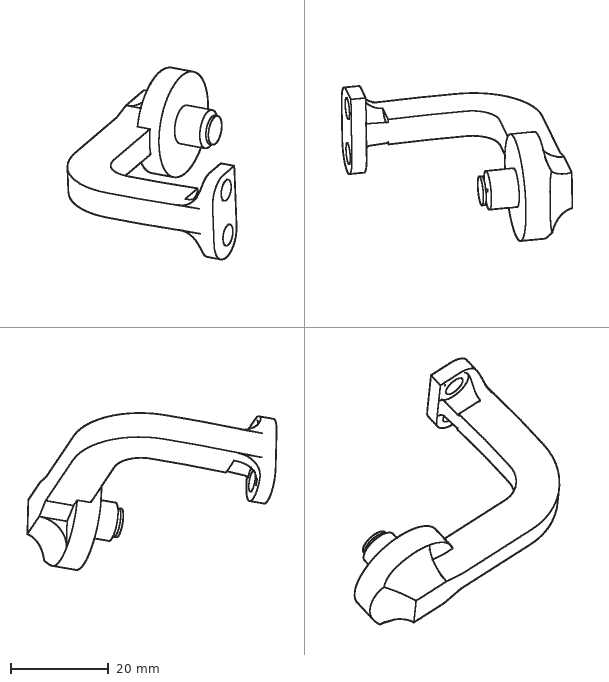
import cadquery as cq
import math

tilt_angle = 4.3

disc_diameter = 22.0
disc_start = 6.0
disc_end = 11.05
pin_diameter = 8.0
pin_end = 16.85
ring_diameter = 6.0
ring_start = 17.75
ring_end = 18.3
stem_diameter = 0.55

pad_half = pin_diameter / 2
flare_radius = disc_start
flare_reach = pad_half + flare_radius
back_flare_mid = (4.1, 6.95)

arm_width = 8.9
arm_top = 3.1
arm_bottom = -2.55
arm_start = -8.25
arm_front = -41.55
bend_radius = 14.85
bend_y = arm_front + bend_radius
inner_radius = bend_radius - arm_width
arm_back = arm_front + arm_width
offset_start = 22.5
offset_rise = 0.55
root_fillet = 0.8

plate_end = 39.0
plate_start = 35.9
plate_front = arm_front + offset_rise
plate_radius = 5.05
plate_back = plate_front + 2 * plate_radius
plate_top = 9.05
plate_round_z = -4.5
hole_diameter = 4.4
hole_y = -34.85
hole_heights = (5.2, -4.9)
clearance_diameter = 7.5
web_radius = 4.85
web_start = plate_start - web_radius


def rod(diameter, start, end, y=0, z=0):
    """Round bar parallel to X."""
    return cq.Workplane("YZ", origin=(start, y, z)).circle(diameter / 2).extrude(end - start)


def make_hub():
    hub = rod(disc_diameter, disc_start, disc_end)
    hub = hub.union(rod(pin_diameter, disc_end, pin_end))
    hub = hub.union(rod(stem_diameter, pin_end, ring_start))
    return hub.union(rod(ring_diameter, ring_start, ring_end))


def make_pad():
    half_chord = flare_radius * math.sin(math.radians(45))
    mid_z = flare_reach - half_chord
    side_profile = (
        cq.Workplane("XZ", origin=(0, -pad_half, 0))
        .moveTo(0, -pad_half)
        .lineTo(0, pad_half)
        .threePointArc((half_chord, mid_z), (disc_start, flare_reach))
        .lineTo(disc_start, -flare_reach)
        .threePointArc((half_chord, -mid_z), (0, -pad_half))
        .close()
        .extrude(-disc_diameter)
    )
    back_profile = (
        cq.Workplane("XY", origin=(0, 0, -disc_diameter / 2))
        .moveTo(0, -pad_half)
        .lineTo(0, pad_half)
        .threePointArc(back_flare_mid, (disc_start, disc_diameter / 2))
        .lineTo(disc_start, -pad_half)
        .close()
        .extrude(disc_diameter)
    )
    return side_profile.intersect(back_profile).intersect(rod(disc_diameter, 0, disc_start))


def make_transition():
    """Tapered length joining the tall pad to the thinner arm."""
    profile = [
        (-pad_half, pad_half),
        (arm_start, arm_top),
        (arm_start, arm_bottom),
        (-pad_half, -pad_half),
    ]
    return cq.Workplane("YZ").polyline(profile).close().extrude(arm_width)


def make_arm():
    diagonal = math.sin(math.radians(45))
    outer_mid = (bend_radius * (1 - diagonal), bend_y - bend_radius * diagonal)
    inner_mid = (bend_radius - inner_radius * diagonal, bend_y - inner_radius * diagonal)
    root_y = arm_back + offset_rise
    return (
        cq.Workplane("XY", origin=(0, 0, arm_bottom))
        .moveTo(0, arm_start)
        .lineTo(0, bend_y)
        .threePointArc(outer_mid, (bend_radius, arm_front))
        .lineTo(offset_start, arm_front)
        .lineTo(plate_start, plate_front)
        .lineTo(plate_start, root_y + root_fillet)
        .radiusArc((plate_start - root_fillet, root_y), root_fillet)
        .lineTo(offset_start, arm_back)
        .lineTo(bend_radius, arm_back)
        .threePointArc(inner_mid, (arm_width, bend_y))
        .lineTo(arm_width, arm_start)
        .close()
        .extrude(arm_top - arm_bottom)
    )


def make_plate():
    """D-shaped plate: fully rounded below, one rounded corner above."""
    mid_y = plate_front + plate_radius
    shoulder_z = plate_top - plate_radius
    diagonal = plate_radius * math.sin(math.radians(45))
    return (
        cq.Workplane("YZ", origin=(plate_start, 0, 0))
        .moveTo(plate_back, plate_top)
        .lineTo(mid_y, plate_top)
        .threePointArc((mid_y - diagonal, shoulder_z + diagonal), (plate_front, shoulder_z))
        .lineTo(plate_front, plate_round_z)
        .threePointArc((mid_y, plate_round_z - plate_radius), (plate_back, plate_round_z))
        .close()
        .extrude(plate_end - plate_start)
    )


def make_web(arm_face, direction):
    """Concave web between one flat face of the arm and the plate."""
    leg = web_radius * math.sin(math.radians(45))
    mid = (web_start + leg, arm_face + direction * (web_radius - leg))
    return (
        cq.Workplane("XZ", origin=(0, plate_front, 0))
        .moveTo(web_start, arm_face)
        .threePointArc(mid, (plate_start, arm_face + direction * web_radius))
        .lineTo(plate_start, arm_face)
        .close()
        .extrude(-arm_width)
    )


mount = make_plate()
plate_shadow = mount.translate((plate_start - plate_end, 0, 0)).union(
    mount.translate((2 * (plate_start - plate_end), 0, 0))
)
webs = make_web(arm_top, 1).union(make_web(arm_bottom, -1))
mount = mount.union(webs.intersect(plate_shadow)).union(make_arm())

for hole_z in hole_heights:
    mount = mount.cut(rod(clearance_diameter, web_start, plate_start, hole_y, hole_z))
    mount = mount.cut(rod(hole_diameter, plate_start, plate_end, hole_y, hole_z))

handle = make_hub().union(make_pad()).union(make_transition()).union(mount)
result = handle.rotate((0, 0, 0), (1, 0, 0), tilt_angle)